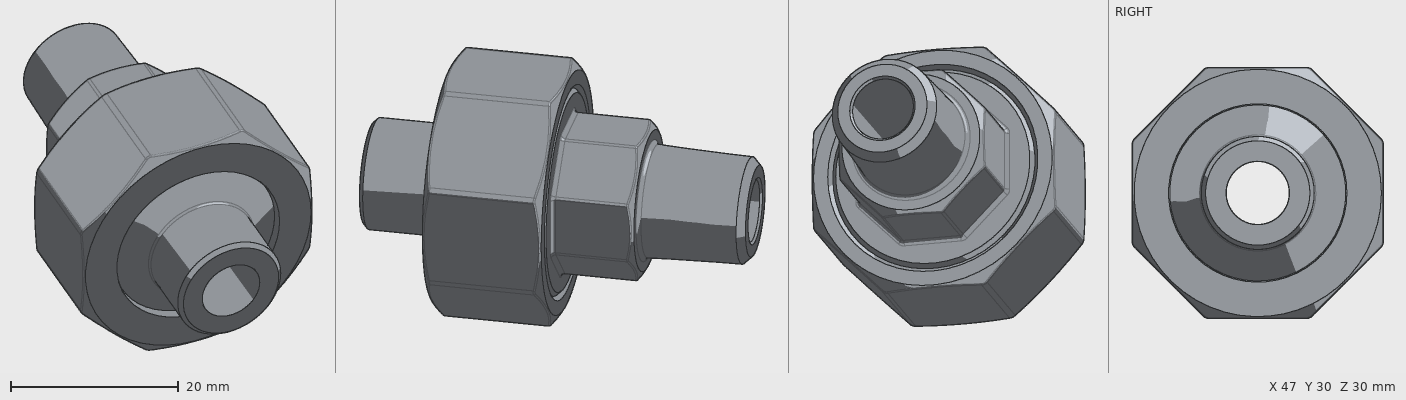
import cadquery as cq
import math

TOTAL_LENGTH = 47.0
BODY_OCTAGON_START = 12.95
NUT_START = 22.95
NUT_LENGTH = 14.5
NUT_END = NUT_START + NUT_LENGTH
JOINT_X = 28.65
LIP_START = 32.9

BORE_DIAMETER = 7.5
BORE_CHAMFER = 0.3

SPIGOT_TAPER = 1 / 16
SPIGOT_DIAMETER = 12.92
SPIGOT_CHAMFER = 0.95
SPIGOT_FILLET = 0.5

NUT_FLATS = 30.0
NUT_CORNER_FILLET = 1.0
BODY_FLATS = 18.0
BODY_CORNER_FILLET = 0.5
BODY_CIRCLE_DIAMETER = 17.05
BODY_FOOT_FILLET = 0.5
NUT_CIRCLE_DIAMETER = 29.5
OCTAGON_CHAMFER_ANGLE = 30.0
OCTAGON_EDGE_FILLET = 0.25

JOINT_DIAMETER = 25.0
NUT_MOUTH_DIAMETER = 26.0
FLANGE_FACE_DIAMETER = 24.0

LIP_DIAMETER = 21.3
HUB_DIAMETER = 21.0
PIPE_DIAMETER = 13.5
PIPE_CHAMFER = 0.5
PIPE_FILLET = 0.38
CONE_END = 38.5
CONE_ANGLE = 60.0

EDGE_CLEARANCE = 0.45


def revolve_about_x(points):
    """Solid of revolution about X from an outline of (x, radius) points."""
    return cq.Workplane("XY").polyline(points).close().revolve(360, (0, 0, 0), (1, 0, 0))


def edges_at(x, reach):
    """Selector for the edges in the plane at x that lie within reach of the axis."""
    slack = 0.005
    return cq.selectors.BoxSelector(
        (x - slack, -reach, -reach),
        (x + slack, reach, reach),
        boundingbox=True,
    )


def chamfered_octagon(start, end, flats, corner_fillet, circle_diameter):
    """Octagonal bar along X, flats facing Y and Z, with turned end chamfers and rounded edges."""
    prism = (
        cq.Workplane("YZ", origin=(start, 0, 0))
        .polygon(8, flats, circumscribed=True)
        .extrude(end - start)
        .edges("|X")
        .fillet(corner_fillet)
    )
    face_radius = circle_diameter / 2
    rim_radius = flats / 2 / math.cos(math.pi / 8)
    depth = (rim_radius - face_radius) * math.tan(math.radians(OCTAGON_CHAMFER_ANGLE))
    blank = revolve_about_x([
        (start, 0),
        (start, face_radius),
        (start + depth, rim_radius),
        (end - depth, rim_radius),
        (end, face_radius),
        (end, 0),
    ])
    return prism.intersect(blank).edges("not(|X or %CIRCLE)").fillet(OCTAGON_EDGE_FILLET)


def make_body():
    joint_radius = JOINT_DIAMETER / 2
    face_radius = FLANGE_FACE_DIAMETER / 2
    flange = revolve_about_x([
        (NUT_START, 0),
        (NUT_START, face_radius),
        (NUT_START + joint_radius - face_radius, joint_radius),
        (JOINT_X, joint_radius),
        (JOINT_X, 0),
    ])
    octagon = chamfered_octagon(
        BODY_OCTAGON_START, JOINT_X, BODY_FLATS, BODY_CORNER_FILLET, BODY_CIRCLE_DIAMETER
    )
    body = flange.union(octagon)
    body = body.edges(edges_at(NUT_START, face_radius - EDGE_CLEARANCE)).fillet(BODY_FOOT_FILLET)

    tip_radius = SPIGOT_DIAMETER / 2
    root_radius = tip_radius + (BODY_OCTAGON_START - SPIGOT_CHAMFER) * SPIGOT_TAPER / 2
    spigot = revolve_about_x([
        (0, 0),
        (0, tip_radius - SPIGOT_CHAMFER),
        (SPIGOT_CHAMFER, tip_radius),
        (BODY_OCTAGON_START, root_radius),
        (BODY_OCTAGON_START, 0),
    ])
    body = body.union(spigot)
    body = body.edges(edges_at(BODY_OCTAGON_START, root_radius + EDGE_CLEARANCE)).fillet(SPIGOT_FILLET)

    bore = cq.Workplane("YZ").circle(BORE_DIAMETER / 2).extrude(JOINT_X)
    body = body.cut(bore)
    return body.edges(edges_at(0, BORE_DIAMETER / 2 + EDGE_CLEARANCE)).chamfer(BORE_CHAMFER)


def make_nut():
    nut = chamfered_octagon(NUT_START, NUT_END, NUT_FLATS, NUT_CORNER_FILLET, NUT_CIRCLE_DIAMETER)
    mouth_radius = NUT_MOUTH_DIAMETER / 2
    joint_radius = JOINT_DIAMETER / 2
    lip_radius = LIP_DIAMETER / 2
    cavity = revolve_about_x([
        (NUT_START, 0),
        (NUT_START, mouth_radius),
        (NUT_START + mouth_radius - joint_radius, joint_radius),
        (LIP_START, joint_radius),
        (LIP_START, lip_radius),
        (NUT_END, lip_radius),
        (NUT_END, 0),
    ])
    return nut.cut(cavity)


def make_tail():
    bore_radius = BORE_DIAMETER / 2
    collar_radius = JOINT_DIAMETER / 2
    hub_radius = HUB_DIAMETER / 2
    pipe_radius = PIPE_DIAMETER / 2
    cone_start = CONE_END - (hub_radius - pipe_radius) / math.tan(math.radians(CONE_ANGLE))
    tail = revolve_about_x([
        (JOINT_X, bore_radius),
        (JOINT_X, collar_radius),
        (LIP_START, collar_radius),
        (LIP_START, hub_radius),
        (cone_start, hub_radius),
        (CONE_END, pipe_radius),
        (TOTAL_LENGTH - PIPE_CHAMFER, pipe_radius),
        (TOTAL_LENGTH, pipe_radius - PIPE_CHAMFER),
        (TOTAL_LENGTH, bore_radius),
    ])
    return tail.edges(edges_at(CONE_END, pipe_radius + EDGE_CLEARANCE)).fillet(PIPE_FILLET)


body = make_body()
nut = make_nut()
tail = make_tail()

result = cq.Compound.makeCompound([body.val(), nut.val(), tail.val()])